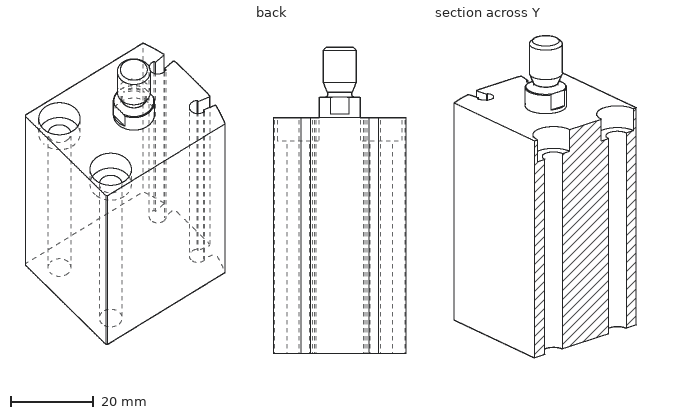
import cadquery as cq
import math


width = 32.0
depth = 39.0
height = 57.0
rod_to_front = 21.0
front_edge_chamfer = 0.3
front_y = -rod_to_front
back_y = front_y + depth

back_flat_width = 12.0
back_crown_radius = 45.0

mount_spacing = 20.0
mount_to_front = 6.0
mount_hole_diameter = 5.5
mount_head_diameter = 10.0
mount_head_depth = 5.7

slot_spacing = 15.65
slot_to_back = 4.5
slot_tilt = 10.0
slot_channel_diameter = 4.13
slot_neck_width = 2.9
slot_shoulder_height = 0.8
slot_lip_fillet = 0.25
slot_mouth_reach = 2.0
slot_neck_top = 2 * slot_to_back

rod_diameter = 10.0
rod_length = 5.0
rod_chamfer = 0.2
flat_spacing = 9.0
flat_start = 0.9

stud_length = 12.0
thread_diameter = 8.0
thread_chamfer = 0.75
thread_length = 8.5
neck_diameter = 5.9
neck_fillet = 0.5
runout_end_diameter = 6.2
runout_step_height = 0.15
runout_length = 2.3


def make_slot(side):
    """Cutter for one sensor slot; side is -1 for the -X slot and 1 for the +X slot."""
    channel_radius = slot_channel_diameter / 2
    shoulder_half = math.sqrt(channel_radius**2 - slot_shoulder_height**2)
    neck_half = slot_neck_width / 2
    return (
        cq.Workplane("XY")
        .moveTo(-neck_half, slot_neck_top)
        .lineTo(-neck_half, slot_shoulder_height)
        .lineTo(-shoulder_half, slot_shoulder_height)
        .threePointArc((0, -channel_radius), (shoulder_half, slot_shoulder_height))
        .lineTo(neck_half, slot_shoulder_height)
        .lineTo(neck_half, slot_neck_top)
        .close()
        .extrude(height)
        .rotate((0, 0, 0), (0, 0, 1), -side * slot_tilt)
        .translate((side * slot_spacing / 2, back_y - slot_to_back, 0))
    )


def crown_y(x):
    """Y of the crowned +Y face at x; the crown meets the flat at its two ends."""
    flat_rise = math.sqrt(back_crown_radius**2 - (back_flat_width / 2) ** 2)
    return back_y - flat_rise + math.sqrt(back_crown_radius**2 - x**2)


def round_slot_lips(block, side):
    """Round the two edges where the neck of one slot opens on the +Y face."""
    mouth_x = side * (slot_spacing / 2 + slot_to_back * math.tan(math.radians(slot_tilt)))
    lips = cq.selectors.BoxSelector(
        (mouth_x - slot_mouth_reach, back_y - slot_mouth_reach, 0),
        (mouth_x + slot_mouth_reach, back_y, height),
    )
    return block.edges("|Z").edges(lips).fillet(slot_lip_fillet)


def make_housing():
    side_x = width / 2
    flat_x = back_flat_width / 2
    mid_x = (side_x + flat_x) / 2
    side_y = crown_y(side_x)
    mid_y = crown_y(mid_x)
    block = (
        cq.Workplane("XY")
        .moveTo(-side_x, front_y)
        .lineTo(side_x, front_y)
        .lineTo(side_x, side_y)
        .threePointArc((mid_x, mid_y), (flat_x, back_y))
        .lineTo(-flat_x, back_y)
        .threePointArc((-mid_x, mid_y), (-side_x, side_y))
        .close()
        .extrude(height)
    )
    block = block.faces("<Y").edges("|Z").chamfer(front_edge_chamfer)

    mount_y = front_y + mount_to_front
    block = (
        block.faces(">Z")
        .workplane(origin=(0, 0, height))
        .pushPoints([(-mount_spacing / 2, mount_y), (mount_spacing / 2, mount_y)])
        .cboreHole(mount_hole_diameter, mount_head_diameter, mount_head_depth)
    )
    for side in (-1, 1):
        block = block.cut(make_slot(side))
    for side in (-1, 1):
        block = round_slot_lips(block, side)
    return block


def make_piston_rod():
    """Rod and stud turned about the Z axis, standing on the top face of the housing."""
    rod_radius = rod_diameter / 2
    thread_radius = thread_diameter / 2
    neck_radius = neck_diameter / 2
    rod_top = height + rod_length
    stud_top = rod_top + stud_length
    thread_start = stud_top - thread_length
    fillet_offset = neck_fillet * (1 - math.sqrt(0.5))
    rod = (
        cq.Workplane("XZ")
        .moveTo(0, height)
        .lineTo(rod_radius, height)
        .lineTo(rod_radius, rod_top - rod_chamfer)
        .lineTo(rod_radius - rod_chamfer, rod_top)
        .lineTo(neck_radius + neck_fillet, rod_top)
        .threePointArc(
            (neck_radius + fillet_offset, rod_top + fillet_offset),
            (neck_radius, rod_top + neck_fillet),
        )
        .lineTo(neck_radius, thread_start - runout_length - runout_step_height)
        .lineTo(runout_end_diameter / 2, thread_start - runout_length)
        .lineTo(thread_radius, thread_start)
        .lineTo(thread_radius, stud_top - thread_chamfer)
        .lineTo(thread_radius - thread_chamfer, stud_top)
        .lineTo(0, stud_top)
        .close()
        .revolve(360, (0, 0, 0), (0, 1, 0))
    )
    flat_height = rod_length - flat_start
    flat_depth = (rod_diameter - flat_spacing) / 2
    for side in (-1, 1):
        flat = cq.Workplane("XY").box(rod_diameter, flat_depth, flat_height).translate(
            (0, side * (flat_spacing + flat_depth) / 2, rod_top - flat_height / 2)
        )
        rod = rod.cut(flat)
    return rod


housing = make_housing()
piston_rod = make_piston_rod()
result = cq.Compound.makeCompound([housing.val(), piston_rod.val()])